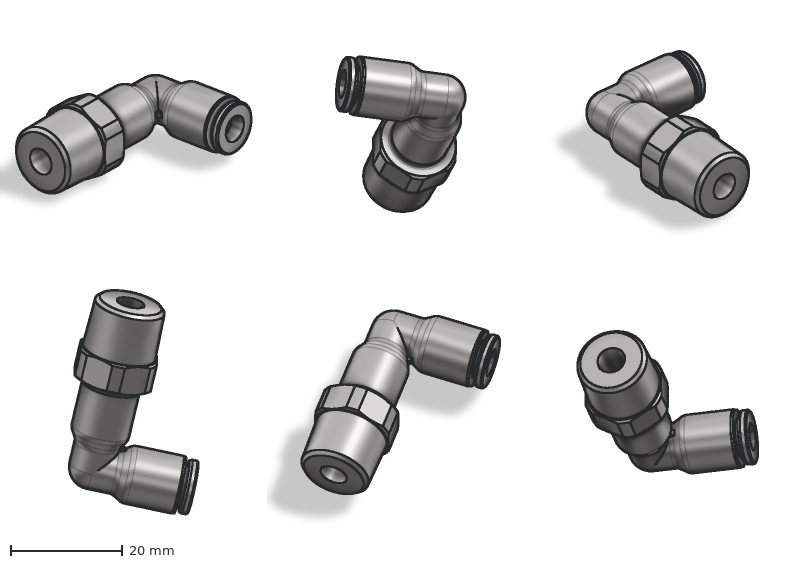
import cadquery as cq
import math


arm_radius = 5.3
neck_radius = 4.1
arm_end = 15.77
flare_start = 4.1
flare_end = 7.2
flare_angle = math.radians(30)
passage_radius = 2.5

web_thickness = 1.0
web_corner_radius = 0.67

flare_rise = arm_radius - neck_radius
flare_length = flare_end - flare_start
blend_radius = ((flare_length * math.tan(flare_angle) - flare_rise)
                / (2 * math.tan(flare_angle) * math.sin(flare_angle) - 2 * (1 - math.cos(flare_angle))))

ring_radius = 5.25
ring_end = 16.22

collet_neck_radius = 3.55
flange_radius = 4.95
flange_start = 16.97
collet_end = 18.6
neck_fillet = 0.22
flange_back_chamfer_length = 0.5
flange_back_chamfer_height = 0.22
flange_front_chamfer = 0.3

collar_radius = ring_radius
collar_fillet = 0.3
hex_start = 16.97
hex_end = 22.55
hex_across_flats = 13.98
hex_corner_radius = 7.495
hex_chamfer_radius = 6.9
hex_chamfer_angle = math.radians(30)
thread_base_radius = 6.7
thread_taper = 1 / 16
stem_end = 32.07
thread_chamfer = 0.7


def tube_axis_solid(profile):
    """Revolve an (x, radius) profile about the X axis."""
    return profile.close().revolve(360, (0, 0, 0), (1, 0, 0))


def to_threaded_arm(shape):
    """Turn a solid built along +X so that it lies along -Y."""
    return shape.rotate((0, 0, 0), (0, 0, 1), -90)


def make_passage(start, end):
    return cq.Workplane("YZ", origin=(start, 0, 0)).circle(passage_radius).extrude(end - start)


def make_arm():
    """One elbow arm: neck, flare with two tangent blends, full cylinder."""
    def neck_blend(angle):
        return (flare_start + blend_radius * math.sin(angle),
                neck_radius + blend_radius * (1 - math.cos(angle)))

    def arm_blend(angle):
        return (flare_end - blend_radius * math.sin(angle),
                arm_radius - blend_radius * (1 - math.cos(angle)))

    return tube_axis_solid(
        cq.Workplane("XY")
        .lineTo(0, neck_radius)
        .lineTo(flare_start, neck_radius)
        .threePointArc(neck_blend(flare_angle / 2), neck_blend(flare_angle))
        .lineTo(*arm_blend(flare_angle))
        .threePointArc(arm_blend(flare_angle / 2), (flare_end, arm_radius))
        .lineTo(arm_end, arm_radius)
        .lineTo(arm_end, 0)
    )


def make_web():
    """Flat web in the inner corner, its free edge a hollow quarter circle."""
    edge = arm_radius - web_corner_radius
    return (
        cq.Workplane("XY", origin=(0, 0, -web_thickness / 2))
        .lineTo(arm_radius, 0)
        .lineTo(arm_radius, -edge)
        .radiusArc((edge, -arm_radius), -web_corner_radius)
        .lineTo(0, -arm_radius)
        .close()
        .extrude(web_thickness)
    )


def make_elbow():
    """Two equal arms joined by a spherical corner and a web, with a matching passage."""
    arm = make_arm()
    outside = cq.Workplane("XY").sphere(neck_radius).union(arm).union(to_threaded_arm(arm)).union(make_web())
    bore = make_passage(0, arm_end)
    inside = cq.Workplane("XY").sphere(passage_radius).union(bore).union(to_threaded_arm(bore))
    return outside.cut(inside)


def make_end_ring():
    return (
        cq.Workplane("YZ", origin=(arm_end, 0, 0))
        .circle(ring_radius)
        .circle(collet_neck_radius)
        .extrude(ring_end - arm_end)
    )


def make_collet():
    """Release collet: neck seated in the end ring, with an outer flange."""
    body = tube_axis_solid(
        cq.Workplane("XY")
        .moveTo(arm_end, 0)
        .lineTo(arm_end, collet_neck_radius)
        .lineTo(flange_start - neck_fillet, collet_neck_radius)
        .radiusArc((flange_start, collet_neck_radius + neck_fillet), -neck_fillet)
        .lineTo(flange_start, flange_radius - flange_back_chamfer_height)
        .lineTo(flange_start + flange_back_chamfer_length, flange_radius)
        .lineTo(collet_end - flange_front_chamfer, flange_radius)
        .lineTo(collet_end, flange_radius - flange_front_chamfer)
        .lineTo(collet_end, 0)
    )
    return body.cut(make_passage(arm_end, collet_end))


def make_hex():
    """Hexagon with flats facing +/-X, turned to a round at its corners and chamfered."""
    length = hex_end - hex_start
    chamfer_length = (hex_corner_radius - hex_chamfer_radius) * math.tan(hex_chamfer_angle)
    prism = (
        cq.Workplane("YZ", origin=(hex_start, 0, 0))
        .polygon(6, hex_across_flats, circumscribed=True)
        .extrude(length)
    )
    blank = tube_axis_solid(
        cq.Workplane("XY")
        .moveTo(hex_start, 0)
        .lineTo(hex_start, hex_chamfer_radius)
        .lineTo(hex_start + chamfer_length, hex_corner_radius)
        .lineTo(hex_end - chamfer_length, hex_corner_radius)
        .lineTo(hex_end, hex_chamfer_radius)
        .lineTo(hex_end, 0)
    )
    return prism.intersect(blank)


def make_stem():
    """Collar, hexagon and taper thread, bored through along one axis."""
    collar = tube_axis_solid(
        cq.Workplane("XY")
        .moveTo(arm_end, 0)
        .lineTo(arm_end, collar_radius)
        .lineTo(hex_start - collar_fillet, collar_radius)
        .radiusArc((hex_start, collar_radius + collar_fillet), -collar_fillet)
        .lineTo(hex_start, 0)
    )
    chamfer_start = stem_end - thread_chamfer
    thread_tip_radius = thread_base_radius - (chamfer_start - hex_end) * thread_taper / 2
    thread = tube_axis_solid(
        cq.Workplane("XY")
        .moveTo(hex_end, 0)
        .lineTo(hex_end, thread_base_radius)
        .lineTo(chamfer_start, thread_tip_radius)
        .lineTo(stem_end, thread_tip_radius - thread_chamfer)
        .lineTo(stem_end, 0)
    )
    stem = collar.union(make_hex()).union(thread).cut(make_passage(arm_end, stem_end))
    return to_threaded_arm(stem)


elbow = make_elbow()
end_ring = make_end_ring()
collet = make_collet()
stem = make_stem()

result = cq.Compound.makeCompound([elbow.val(), end_ring.val(), collet.val(), stem.val()])